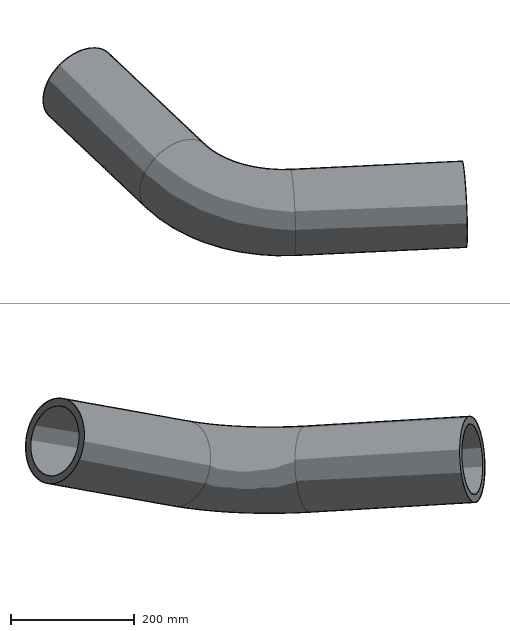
import cadquery as cq
import math

overall_length = 660.5
outer_diameter = 140.0
bore_diameter = 114.0
bend_angle = 60.0
bend_radius = 1.5 * outer_diameter

turn = math.radians(bend_angle)
bend_reach = bend_radius * math.sin(turn)
end_face_reach = outer_diameter / 2 * math.sin(turn)
leg_length = (overall_length - bend_reach - end_face_reach) / (1 + math.cos(turn))


def point_on_bend(angle):
    """Centreline point after turning through the given angle in radians."""
    return (
        leg_length + bend_radius * math.sin(angle),
        bend_radius * (1 - math.cos(angle)),
    )


bend_start = point_on_bend(0)
bend_middle = point_on_bend(turn / 2)
bend_end = point_on_bend(turn)
far_end = (
    bend_end[0] + leg_length * math.cos(turn),
    bend_end[1] + leg_length * math.sin(turn),
)

centreline = (
    cq.Workplane("XY")
    .lineTo(*bend_start)
    .threePointArc(bend_middle, bend_end)
    .lineTo(*far_end)
)

result = (
    cq.Workplane("YZ")
    .circle(outer_diameter / 2)
    .circle(bore_diameter / 2)
    .sweep(centreline)
)